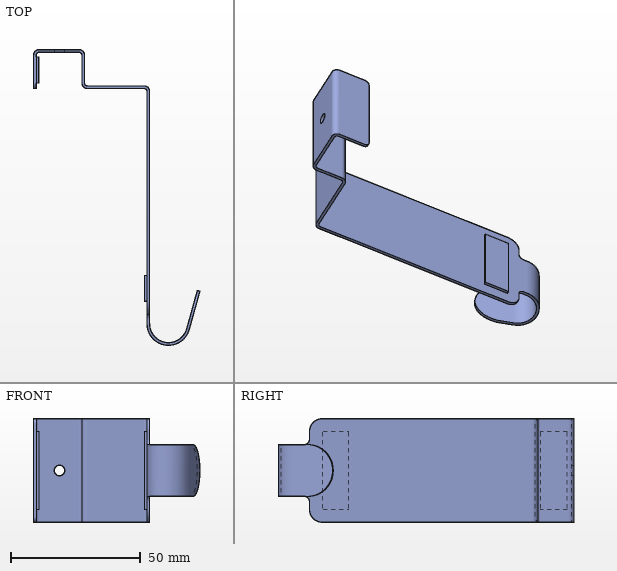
import cadquery as cq
import math


thickness = 1.1
bend_outer = 2.2
length = 114.0
total_width = 64.2
height = 40.0

clamp_width = 19.7
clamp_depth = 15.0
plate_outer_x = 44.8
plate_end_y = -102.0
plate_corner = 5.0
arm_corner = 2.0

tongue_width = 20.0
tongue_fillet = 2.0
hook_outer = 8.3
tip_angle = 15.6

hole_diameter = 4.0
hole_x = 10.0

pad_length = 10.0
pad_height = 30.0
pad_thickness = 1.0
arm_pad_top_y = -2.8
plate_pad_top_y = -87.0

half = thickness / 2
plate_inner_x = plate_outer_x - thickness
hook_center_x = plate_inner_x + hook_outer
hook_center_y = hook_outer - length
tilt = math.radians(tip_angle)
tip_start_x = hook_center_x + hook_outer * math.cos(tilt)
tip_start_y = hook_center_y - hook_outer * math.sin(tilt)
tip_length = (total_width - tip_start_x) / math.sin(tilt)


def on_hook(radius, degrees):
    """Point at a given angle on a circle around the hook center."""
    angle = math.radians(degrees)
    return (hook_center_x + radius * math.cos(angle), hook_center_y + radius * math.sin(angle))


def fillet_upright_edges(body, places, radius):
    """Round the Z-parallel edges that pass nearest the given (x, y) places."""
    for x, y in places:
        body = body.edges("|Z").edges(cq.NearestToPointSelector((x, y, 0))).fillet(radius)
    return body


def make_bent_plate():
    """Clamp and long plate: a full-height strip with four rounded bends."""
    outer_bends = [
        (0, 0),
        (clamp_width, 0),
        (clamp_width - thickness, -clamp_depth),
        (plate_outer_x, thickness - clamp_depth),
    ]
    inner_bends = [
        (thickness, -thickness),
        (clamp_width - thickness, -thickness),
        (clamp_width, thickness - clamp_depth),
        (plate_inner_x, -clamp_depth),
    ]
    upper_face = [outer_bends[0], outer_bends[1], inner_bends[2], outer_bends[3]]
    lower_face = [inner_bends[0], inner_bends[1], outer_bends[2], inner_bends[3]]
    plate_end = [(plate_outer_x, plate_end_y), (plate_inner_x, plate_end_y)]
    arm_end = [(thickness, -clamp_depth), (0, -clamp_depth)]
    outline = upper_face + plate_end + lower_face[::-1] + arm_end
    plate = cq.Workplane("XY", origin=(0, 0, -height / 2)).polyline(outline).close().extrude(height)
    plate = fillet_upright_edges(plate, outer_bends, bend_outer)
    plate = fillet_upright_edges(plate, inner_bends, bend_outer - thickness)

    arm_box = cq.selectors.BoxSelector(
        (-half, -clamp_depth - half, -height),
        (thickness + half, half - clamp_depth, height),
    )
    plate_box = cq.selectors.BoxSelector(
        (plate_inner_x - half, plate_end_y - half, -height),
        (plate_outer_x + half, plate_end_y + half, height),
    )
    plate = plate.edges("|X").edges(arm_box).fillet(arm_corner)
    return plate.edges("|X").edges(plate_box).fillet(plate_corner)


def make_hook():
    """Tongue and hook bend, up to the start of the straight tip."""
    hook_inner = hook_outer - thickness
    middle = -90 - tip_angle / 2
    return (
        cq.Workplane("XY", origin=(0, 0, -tongue_width / 2))
        .moveTo(plate_inner_x, plate_end_y)
        .lineTo(*on_hook(hook_outer, 180))
        .threePointArc(on_hook(hook_outer, middle), on_hook(hook_outer, -tip_angle))
        .lineTo(*on_hook(hook_inner, -tip_angle))
        .threePointArc(on_hook(hook_inner, middle), on_hook(hook_inner, 180))
        .lineTo(plate_outer_x, plate_end_y)
        .close()
        .extrude(tongue_width)
    )


def make_tip():
    """Straight tilted tip with a full round end."""
    radius = tongue_width / 2
    outer_face = cq.Plane(
        origin=(tip_start_x, tip_start_y, 0),
        xDir=(math.sin(tilt), math.cos(tilt), 0),
        normal=(math.cos(tilt), -math.sin(tilt), 0),
    )
    return (
        cq.Workplane(outer_face)
        .moveTo(0, -radius)
        .lineTo(tip_length - radius, -radius)
        .threePointArc((tip_length, 0), (tip_length - radius, radius))
        .lineTo(0, radius)
        .close()
        .extrude(-thickness)
    )


def make_strip():
    """The whole bent strip, with filleted tongue corners and the screw hole."""
    strip = make_bent_plate().union(make_hook()).union(make_tip())
    tongue_corners = cq.selectors.BoxSelector(
        (plate_inner_x - half, plate_end_y - half, -tongue_width / 2 - half),
        (plate_outer_x + half, plate_end_y + half, tongue_width / 2 + half),
    )
    strip = strip.edges("|X").edges(tongue_corners).fillet(tongue_fillet)
    hole = (
        cq.Workplane("XZ", origin=(hole_x, 0, 0))
        .circle(hole_diameter / 2)
        .extrude(thickness)
    )
    return strip.cut(hole)


def make_pad(left_x, top_y):
    """Thin rectangular pad, centered on the strip height."""
    return cq.Workplane("XY").box(pad_thickness, pad_length, pad_height).translate(
        (left_x + pad_thickness / 2, top_y - pad_length / 2, 0)
    )


strip = make_strip()
pad_places = [
    (thickness, arm_pad_top_y),
    (plate_inner_x - pad_thickness, plate_pad_top_y),
]
pads = [make_pad(left_x, top_y) for left_x, top_y in pad_places]

result = cq.Compound.makeCompound([strip.val(), *[pad.val() for pad in pads]])